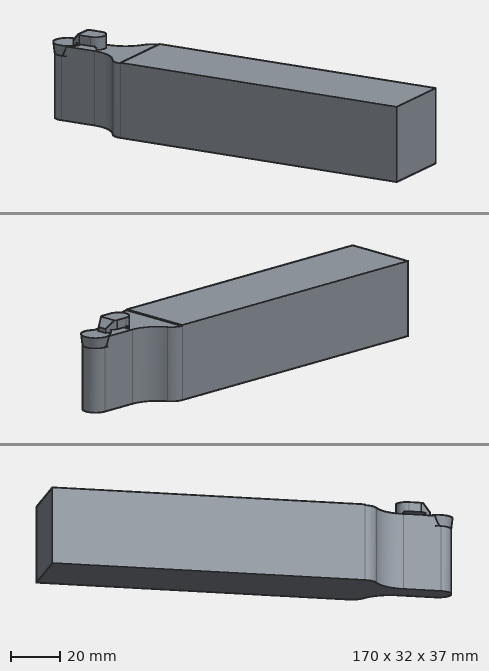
import cadquery as cq
import math

total_length = 170.0
shank_size = 32.0
shank_half = shank_size / 2
shank_start_x = 40.0
step_depth = 0.3
ramp_start_x = shank_start_x - step_depth
neck_top = shank_size - step_depth

insert_radius = 6.0
insert_thickness = 4.6
insert_relief_angle = 7.0
insert_x = insert_radius
insert_bottom = shank_size - insert_thickness
insert_bottom_radius = insert_radius - insert_thickness * math.tan(math.radians(insert_relief_angle))
neck_half = insert_bottom_radius
flank_end_x = 21.6
concave_radius = 14.8

clamp_top = 37.0
clamp_underside = 33.2
clamp_half = 4.5
clamp_tip_x = 9.7
clamp_tip_half = 2.0
clamp_taper_end_x = 14.0
clamp_tail_x = 19.0
clamp_end_x = clamp_tail_x + clamp_half
bevel_top_x = 13.0
bevel_bottom_z = 33.7
front_foot_end_x = 11.7
rear_foot_start_x = 21.5
rear_foot_chamfer = 0.7

curve_length = shank_start_x - flank_end_x
curve_rise = shank_half - neck_half
radius_sum = (curve_length**2 + curve_rise**2) / (2 * curve_rise)
convex_radius = radius_sum - concave_radius
curve_angle = math.asin(curve_length / radius_sum)


def concave_point(angle):
    return (
        flank_end_x + concave_radius * math.sin(angle),
        neck_half + concave_radius * (1 - math.cos(angle)),
    )


def convex_point(angle):
    return (
        shank_start_x - convex_radius * math.sin(angle),
        shank_half - convex_radius * (1 - math.cos(angle)),
    )


def mirrored(point):
    return (point[0], -point[1])


def make_holder_blank():
    concave_mid = concave_point(curve_angle / 2)
    inflection = concave_point(curve_angle)
    convex_mid = convex_point(curve_angle / 2)
    blank = (
        cq.Workplane("XY")
        .moveTo(insert_x, neck_half)
        .lineTo(flank_end_x, neck_half)
        .threePointArc(concave_mid, inflection)
        .threePointArc(convex_mid, (shank_start_x, shank_half))
        .lineTo(total_length, shank_half)
        .lineTo(total_length, -shank_half)
        .lineTo(shank_start_x, -shank_half)
        .threePointArc(mirrored(convex_mid), mirrored(inflection))
        .threePointArc(mirrored(concave_mid), (flank_end_x, -neck_half))
        .lineTo(insert_x, -neck_half)
        .threePointArc((insert_x - neck_half, 0), (insert_x, neck_half))
        .close()
        .extrude(shank_size)
    )
    step = (
        cq.Workplane("XZ")
        .moveTo(0, neck_top)
        .lineTo(ramp_start_x, neck_top)
        .lineTo(shank_start_x, shank_size)
        .lineTo(0, shank_size)
        .close()
        .extrude(shank_half, both=True)
    )
    return blank.cut(step)


def make_clamp():
    plan = (
        cq.Workplane("XY", origin=(0, 0, neck_top))
        .moveTo(clamp_tip_x, clamp_tip_half)
        .lineTo(clamp_taper_end_x, clamp_half)
        .lineTo(clamp_tail_x, clamp_half)
        .threePointArc((clamp_end_x, 0), (clamp_tail_x, -clamp_half))
        .lineTo(clamp_taper_end_x, -clamp_half)
        .lineTo(clamp_tip_x, -clamp_tip_half)
        .close()
        .extrude(clamp_top - neck_top)
    )
    side = (
        cq.Workplane("XZ")
        .moveTo(clamp_tip_x, shank_size)
        .lineTo(clamp_tip_x, bevel_bottom_z)
        .lineTo(bevel_top_x, clamp_top)
        .lineTo(clamp_end_x, clamp_top)
        .lineTo(clamp_end_x, neck_top)
        .lineTo(rear_foot_start_x, neck_top)
        .lineTo(rear_foot_start_x, clamp_underside - rear_foot_chamfer)
        .lineTo(rear_foot_start_x - rear_foot_chamfer, clamp_underside)
        .lineTo(front_foot_end_x, clamp_underside)
        .lineTo(front_foot_end_x, shank_size)
        .close()
        .extrude(clamp_half, both=True)
    )
    return plan.intersect(side)


def make_insert():
    return (
        cq.Workplane("XY", origin=(insert_x, 0, insert_bottom))
        .circle(insert_bottom_radius)
        .workplane(offset=insert_thickness)
        .circle(insert_radius)
        .loft(ruled=True)
    )


insert = make_insert()
holder = make_holder_blank().cut(insert).union(make_clamp())

result = cq.Compound.makeCompound([*holder.solids().vals(), insert.val()])